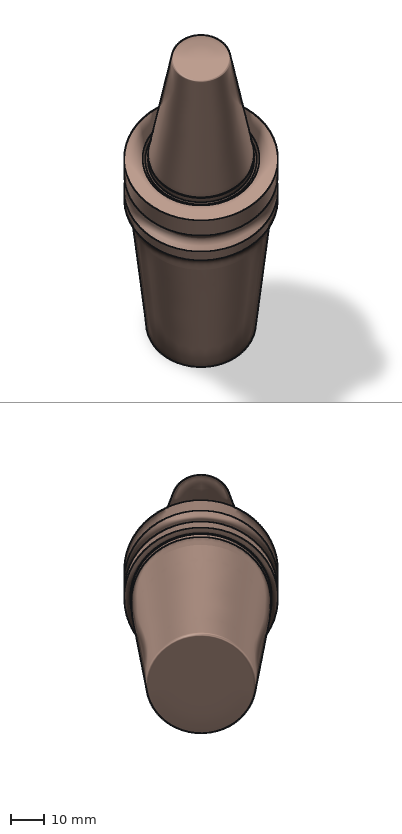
import cadquery as cq
import math

total_length = 133.4
gauge_z = 85.0
flange_top_z = 83.0
flange_bottom_z = 63.0
v_groove_top_z = 75.4
v_groove_bottom_z = 67.4
collar_step_z = 62.2
collar_bottom_z = 61.0
body_taper_z = 55.2

flange_radius = 46.0 / 2
gauge_radius = 15.9
v_groove_root_radius = 19.1
collar_radius = 21.2
body_radius = 20.8
nose_radius = 16.4

taper_ratio = 7 / 24
neck_z = 84.2
neck_radius = 15.6
face_recess_radius = 17.5
face_recess_floor_radius = 16.7
face_recess_depth = 0.5
v_groove_flank_angle = 30.0
root_fillet = 1.0
nose_fillet = 1.0
shank_end_fillet = 0.5

shank_end_radius = gauge_radius - (total_length - gauge_z) * taper_ratio / 2
v_flank_height = (flange_radius - v_groove_root_radius) * math.tan(math.radians(v_groove_flank_angle))
v_root_top_z = v_groove_top_z - v_flank_height
v_root_bottom_z = v_groove_bottom_z + v_flank_height


def revolve_profile(points):
    """Turn a closed outline of (radius, height) points about the Z axis."""
    return cq.Workplane("XZ").polyline(points).close().revolve(360, (0, 0, 0), (0, 1, 0))


def edges_at(body, radius, height):
    """Select the circular edge of the given radius and height."""
    margin = 0.07
    box = cq.selectors.BoxSelector(
        (-radius - margin, -radius - margin, height - margin),
        (radius + margin, radius + margin, height + margin),
        boundingbox=True,
    )
    return body.edges("%CIRCLE").edges(box)


body = revolve_profile([
    (0, 0),
    (nose_radius, 0),
    (body_radius, body_taper_z),
    (body_radius, collar_bottom_z),
    (collar_radius, collar_step_z),
    (collar_radius, flange_bottom_z),
    (0, flange_bottom_z),
])
body = edges_at(body, nose_radius, 0).fillet(nose_fillet)

flange = revolve_profile([
    (0, flange_bottom_z),
    (flange_radius, flange_bottom_z),
    (flange_radius, v_groove_bottom_z),
    (v_groove_root_radius, v_root_bottom_z),
    (v_groove_root_radius, v_root_top_z),
    (flange_radius, v_groove_top_z),
    (flange_radius, flange_top_z),
    (face_recess_radius, flange_top_z),
    (face_recess_floor_radius, flange_top_z - face_recess_depth),
    (0, flange_top_z - face_recess_depth),
])
for root_z in (v_root_bottom_z, v_root_top_z):
    flange = edges_at(flange, v_groove_root_radius, root_z).fillet(root_fillet)

shank = revolve_profile([
    (0, flange_top_z - face_recess_depth),
    (gauge_radius, flange_top_z - face_recess_depth),
    (neck_radius, neck_z),
    (gauge_radius, gauge_z),
    (shank_end_radius, total_length),
    (0, total_length),
])
shank = edges_at(shank, shank_end_radius, total_length).fillet(shank_end_fillet)

result = body.union(flange).union(shank)